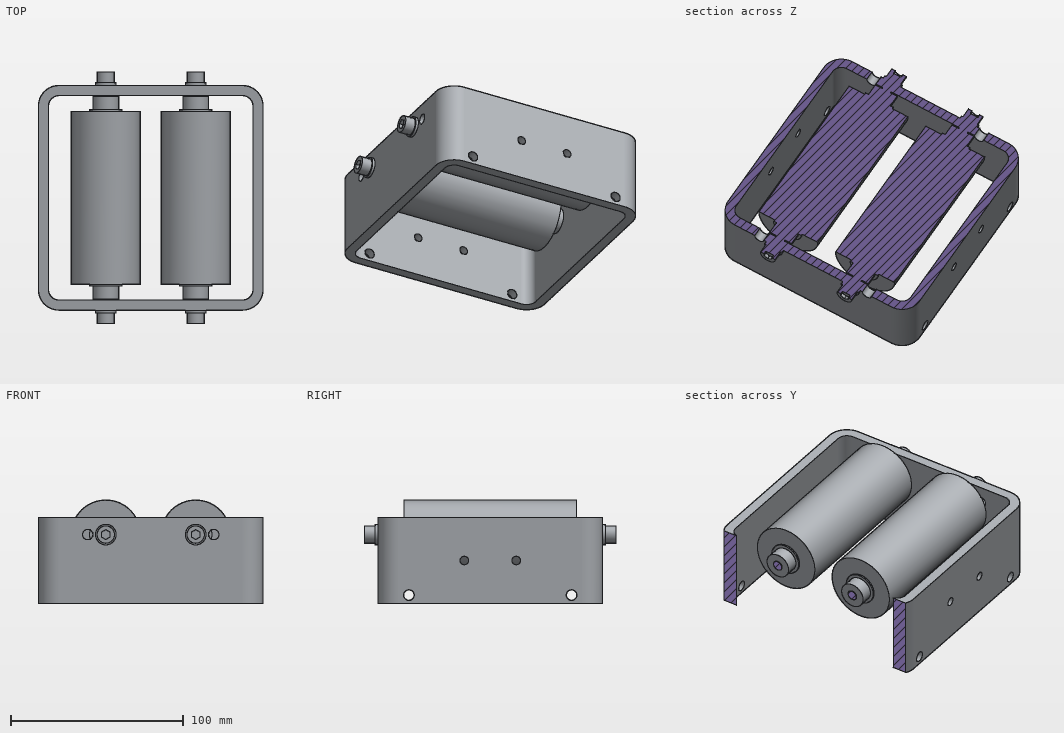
import cadquery as cq

frame_side = 130.0
frame_height = 50.0
wall = 6.0
corner_radius = 2 * wall

overall_height = 60.0
roller_diameter = 40.0
roller_length = 100.0
roller_pitch = 52.0
roller_axis_z = overall_height - roller_diameter / 2

collar_diameter = 18.8
collar_thickness = 1.0
spacer_diameter = 15.0
spacer_clearance = 0.5
washer_diameter = 12.0
washer_thickness = 1.6
screw_shank_diameter = 6.0
screw_head_diameter = 10.0
screw_head_end = 72.8
socket_width = 5.0
socket_depth = 2.0

large_hole_diameter = 6.0
small_hole_diameter = 5.0
adjuster_hole_offset = 10.5
foot_hole_y = 47.0
foot_hole_z = 5.0
middle_hole_y = 15.0
middle_hole_z = frame_height / 2

roller_end = roller_length / 2
collar_end = roller_end + collar_thickness
wall_outside = frame_side / 2
wall_inside = wall_outside - wall
spacer_end = wall_inside - spacer_clearance
washer_end = wall_outside + washer_thickness

roller_positions = (-roller_pitch / 2, roller_pitch / 2)


def y_cylinder(diameter, start, end):
    """Cylinder on the Y axis between two Y stations."""
    plane = cq.Workplane("XZ", origin=(0, start, 0))
    return plane.circle(diameter / 2).extrude(start - end)


def make_frame():
    outside = cq.Workplane("XY").rect(frame_side, frame_side).extrude(frame_height)
    outside = outside.edges("|Z").fillet(corner_radius)
    opening_side = frame_side - 2 * wall
    opening = cq.Workplane("XY").rect(opening_side, opening_side).extrude(frame_height)
    opening = opening.edges("|Z").fillet(corner_radius - wall)
    return outside.cut(opening)


def drill_frame(frame):
    adjuster_x = roller_pitch / 2 + adjuster_hole_offset
    adjuster_points = [(x, roller_axis_z) for x in (-adjuster_x, adjuster_x)]
    adjuster_holes = (
        cq.Workplane("XZ")
        .pushPoints(adjuster_points)
        .circle(large_hole_diameter / 2)
        .extrude(frame_side, both=True)
    )
    frame = frame.cut(adjuster_holes)

    for diameter, y, z in (
        (large_hole_diameter, foot_hole_y, foot_hole_z),
        (small_hole_diameter, middle_hole_y, middle_hole_z),
    ):
        holes = (
            cq.Workplane("YZ")
            .pushPoints([(-y, z), (y, z)])
            .circle(diameter / 2)
            .extrude(frame_side, both=True)
        )
        frame = frame.cut(holes)
    return frame


def make_roller_mount():
    """Mounting hardware on the +Y end of a roller, with the roller axis on Y."""
    collar = y_cylinder(collar_diameter, roller_end, collar_end)
    spacer = y_cylinder(spacer_diameter, collar_end, spacer_end)
    shank = y_cylinder(screw_shank_diameter, collar_end, wall_outside)
    washer = y_cylinder(washer_diameter, wall_outside, washer_end)
    head = y_cylinder(screw_head_diameter, washer_end, screw_head_end)

    socket = (
        cq.Workplane("XZ", origin=(0, screw_head_end, 0))
        .polygon(6, socket_width, circumscribed=True)
        .extrude(socket_depth)
    )
    return collar.union(spacer).union(shank).union(washer).union(head.cut(socket))


def make_roller():
    drum = y_cylinder(roller_diameter, -roller_end, roller_end)
    mount = make_roller_mount()
    return drum.union(mount).union(mount.mirror("XZ"))


result = drill_frame(make_frame())
roller = make_roller()
for roller_x in roller_positions:
    result = result.union(roller.translate((roller_x, 0, roller_axis_z)))